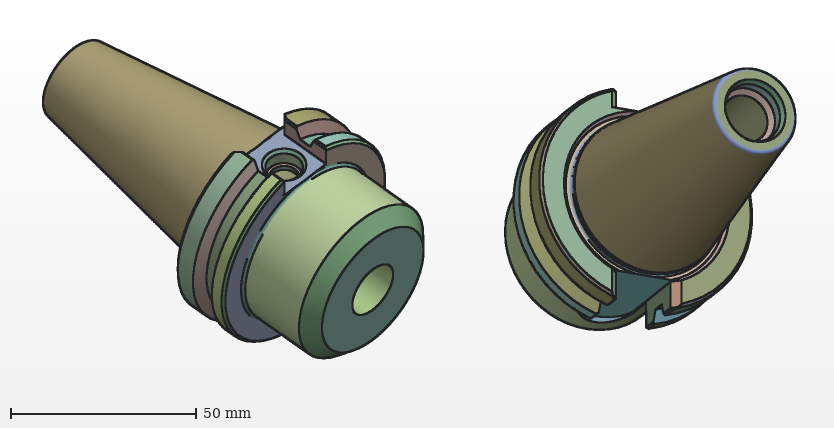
import cadquery as cq
import math

taper_length = 68.25
gauge_diameter = 44.45
taper_ratio = 3.5 / 12
small_end_fillet = 1.0
nose_end_x = 44.46

neck_diameter = 43.94
neck_root_fillet = 0.6

flange_diameter = 63.5
flange_start_x = 1.1
flange_end_x = 19.05
flange_chamfer = 0.75
recess_mouth_diameter = 49.4
recess_depth = 1.0

groove_center_x = 11.1
groove_bottom_diameter = 56.36
groove_bottom_width = 3.75
groove_top_width = 7.1

nose_diameter = 48.26
nose_chamfer = 4.4
nose_root_fillet = 0.8

drive_slot_width = 16.25
top_slot_floor = 24.55
bottom_slot_floor = 22.4
bottom_slot_end_center_x = 26.4
slot_flare = 2.25
slot_rim_chamfer_start = 30.03

pilot_mouth_diameter = 18.0
pilot_mouth_depth = 1.8
pilot_diameter = 16.46
pilot_depth = 5.0
draw_bar_hole_diameter = 13.39
shank_bore_diameter = 15.88
shank_bore_depth = 50.0

pocket_mouth_diameter = 12.0
pocket_diameter = 10.13
pocket_depth = 4.7
pilot_drill_diameter = 8.0
pilot_drill_depth = 6.2
drill_point_angle = 118

small_end_x = -taper_length
small_end_radius = (gauge_diameter - taper_length * taper_ratio) / 2
gauge_radius = gauge_diameter / 2
neck_radius = neck_diameter / 2
flange_radius = flange_diameter / 2
nose_radius = nose_diameter / 2
groove_bottom_radius = groove_bottom_diameter / 2
groove_half_bottom = groove_bottom_width / 2
groove_half_top = groove_top_width / 2
flange_middle_x = (flange_start_x + flange_end_x) / 2
slot_end_x = flange_end_x + nose_root_fillet


def revolve_about_x(points):
    """Revolve a closed outline of (x, radius) points about the X axis."""
    return cq.Workplane("XY").polyline(points).close().revolve(360, (0, 0, 0), (1, 0, 0))


def make_taper():
    """Steep taper shank with a rounded small end."""
    taper = revolve_about_x([
        (small_end_x, 0),
        (small_end_x, small_end_radius),
        (0, gauge_radius),
        (0, 0),
    ])
    return taper.faces("<X").edges().fillet(small_end_fillet)


def make_flange():
    """Neck and flange with a V groove round the rim and a recess round the neck."""
    recess_floor_x = flange_start_x + recess_depth
    recess_mouth_radius = recess_mouth_diameter / 2
    return (
        cq.Workplane("XY")
        .moveTo(0, 0)
        .lineTo(0, neck_radius)
        .lineTo(recess_floor_x - neck_root_fillet, neck_radius)
        .radiusArc((recess_floor_x, neck_radius + neck_root_fillet), -neck_root_fillet)
        .lineTo(recess_floor_x, recess_mouth_radius - recess_depth)
        .lineTo(flange_start_x, recess_mouth_radius)
        .lineTo(flange_start_x, flange_radius - flange_chamfer)
        .lineTo(flange_start_x + flange_chamfer, flange_radius)
        .lineTo(groove_center_x - groove_half_top, flange_radius)
        .lineTo(groove_center_x - groove_half_bottom, groove_bottom_radius)
        .lineTo(groove_center_x + groove_half_bottom, groove_bottom_radius)
        .lineTo(groove_center_x + groove_half_top, flange_radius)
        .lineTo(flange_end_x - flange_chamfer, flange_radius)
        .lineTo(flange_end_x, flange_radius - flange_chamfer)
        .lineTo(flange_end_x, 0)
        .close()
        .revolve(360, (0, 0, 0), (1, 0, 0))
    )


def make_nose():
    """Nose with a fillet at the flange and a 45 degree chamfer at the free end."""
    root = nose_root_fillet
    return (
        cq.Workplane("XY")
        .moveTo(flange_end_x, 0)
        .lineTo(flange_end_x, nose_radius + root)
        .radiusArc((flange_end_x + root, nose_radius), -root)
        .lineTo(nose_end_x - nose_chamfer, nose_radius)
        .lineTo(nose_end_x, nose_radius - nose_chamfer)
        .lineTo(nose_end_x, 0)
        .close()
        .revolve(360, (0, 0, 0), (1, 0, 0))
    )


def slot_outline(height):
    """Plan of a drive slot, flared at 45 degrees where it opens on the taper side."""
    half_width = drive_slot_width / 2
    flare_end_x = flange_start_x + slot_flare
    half_mouth_at_gauge = half_width + flare_end_x
    return (
        cq.Workplane("XY", origin=(0, 0, height))
        .polyline([
            (0, -half_mouth_at_gauge),
            (flare_end_x, -half_width),
            (slot_end_x, -half_width),
            (slot_end_x, half_width),
            (flare_end_x, half_width),
            (0, half_mouth_at_gauge),
        ])
        .close()
    )


def make_slot_cutter(floor):
    """Drive slot above a flat floor, with the outer rims of its walls chamfered."""
    walls = slot_outline(floor).extrude(flange_radius - floor)
    rim_height = flange_radius - slot_rim_chamfer_start
    rims = slot_outline(slot_rim_chamfer_start).extrude(rim_height, taper=-45)
    return walls.union(rims)


def make_bottom_slot_cutter():
    """Lower drive slot, which runs out into the nose with a round end."""
    slot = make_slot_cutter(bottom_slot_floor)
    run_out = (
        cq.Workplane("XY", origin=(0, 0, bottom_slot_floor))
        .moveTo(flange_middle_x, -drive_slot_width / 2)
        .lineTo(bottom_slot_end_center_x, -drive_slot_width / 2)
        .threePointArc(
            (bottom_slot_end_center_x + drive_slot_width / 2, 0),
            (bottom_slot_end_center_x, drive_slot_width / 2),
        )
        .lineTo(flange_middle_x, drive_slot_width / 2)
        .close()
        .extrude(flange_radius - bottom_slot_floor)
    )
    return slot.union(run_out).mirror("XY")


def make_bore_cutter():
    """Pilot and draw-bar hole from the small end, shank bore from the nose."""
    pilot_radius = pilot_diameter / 2
    hole_radius = draw_bar_hole_diameter / 2
    pilot_end_x = small_end_x + pilot_depth
    shank_start_x = nose_end_x - shank_bore_depth
    return revolve_about_x([
        (small_end_x, 0),
        (small_end_x, pilot_mouth_diameter / 2),
        (small_end_x + pilot_mouth_depth, pilot_radius),
        (pilot_end_x, pilot_radius),
        (pilot_end_x + pilot_radius - hole_radius, hole_radius),
        (shank_start_x, hole_radius),
        (shank_start_x, shank_bore_diameter / 2),
        (nose_end_x, shank_bore_diameter / 2),
        (nose_end_x, 0),
    ])


def make_pocket_cutter():
    """Blind stepped pocket with a drill point, sunk in the floor of the upper slot."""
    mouth_radius = pocket_mouth_diameter / 2
    pocket_radius = pocket_diameter / 2
    drill_radius = pilot_drill_diameter / 2
    point_height = drill_radius / math.tan(math.radians(drill_point_angle / 2))
    return (
        cq.Workplane("XZ", origin=(groove_center_x, 0, top_slot_floor))
        .polyline([
            (0, 0),
            (mouth_radius, 0),
            (pocket_radius, pocket_radius - mouth_radius),
            (pocket_radius, -pocket_depth),
            (drill_radius, -pocket_depth),
            (drill_radius, -pilot_drill_depth),
            (0, -pilot_drill_depth - point_height),
        ])
        .close()
        .revolve(360, (0, 0, 0), (0, 1, 0))
    )


holder = (
    make_taper()
    .union(make_flange())
    .union(make_nose())
    .cut(make_slot_cutter(top_slot_floor))
    .cut(make_bottom_slot_cutter())
    .cut(make_pocket_cutter())
    .cut(make_bore_cutter())
)

result = cq.Compound.makeCompound([holder.val()])